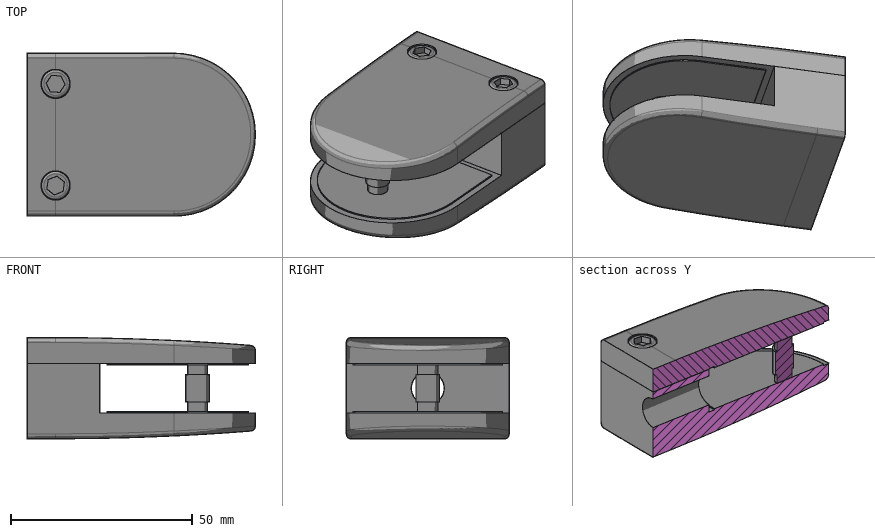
import cadquery as cq
import math

length = 63.0
width = 45.0
height = 28.0

arch_start_x = 7.9
arch_radius = 675.35
edge_round = 1.4

slot_height = 13.6
slot_start_x = 20.1
pad_thickness = 0.4
pad_inset = 1.9
bore_diameter = 9.0

screw_x = arch_start_x
screw_spacing = 28.05
socket_angles = {screw_spacing / 2: -4.0, -screw_spacing / 2: 22.0}
counterbore_diameter = 8.05
head_diameter = 7.8
head_height = 3.0
head_round = 0.7
socket_corner_diameter = 5.2
socket_depth = 1.9

pin_x = 47.05
pin_diameter = 5.55
sleeve_diameter = 6.6
sleeve_height = 7.55

half_height = height / 2
half_slot = slot_height / 2
nose_radius = width / 2
nose_x = length - nose_radius
arch_run = length - arch_start_x
arch_drop = arch_radius - math.sqrt(arch_radius**2 - arch_run**2)
arch_middle_x = arch_start_x + arch_run / 2
arch_middle_drop = arch_radius - math.sqrt(arch_radius**2 - (arch_run / 2) ** 2)


def d_plate(start_x, radius, bottom_z, thickness):
    """Plate with a square back at start_x and a half-round nose about nose_x."""
    return (
        cq.Workplane("XY", origin=(0, 0, bottom_z))
        .moveTo(start_x, -radius)
        .lineTo(nose_x, -radius)
        .threePointArc((nose_x + radius, 0), (nose_x, radius))
        .lineTo(start_x, radius)
        .close()
        .extrude(thickness)
    )


def jaw():
    """Upper jaw: D-shaped plate with an arched, rounded outer face and a raised pad inside the slot."""
    arched_profile = (
        cq.Workplane("XZ")
        .moveTo(0, half_slot)
        .lineTo(0, half_height)
        .lineTo(arch_start_x, half_height)
        .threePointArc(
            (arch_middle_x, half_height - arch_middle_drop),
            (length, half_height - arch_drop),
        )
        .lineTo(length, half_slot)
        .close()
        .extrude(nose_radius, both=True)
    )
    plate = d_plate(0, nose_radius, half_slot, half_height - half_slot).intersect(arched_profile)

    rim = plate.edges().filter(
        lambda edge: edge.Center().z > half_slot + edge_round and edge.BoundingBox().xlen > edge_round
    )
    pad = d_plate(
        slot_start_x + pad_inset,
        nose_radius - pad_inset,
        half_slot - pad_thickness,
        pad_thickness,
    )
    return rim.fillet(edge_round).union(pad)


def screw_head(angle):
    """Round-edged socket head standing on the XY plane, with its hexagon turned by the angle."""
    socket = (
        cq.Workplane("XY", origin=(0, 0, head_height - socket_depth))
        .polygon(6, socket_corner_diameter)
        .extrude(socket_depth)
        .rotate((0, 0, 0), (0, 0, 1), angle)
    )
    return (
        cq.Workplane("XY")
        .circle(head_diameter / 2)
        .extrude(head_height)
        .faces(">Z")
        .edges()
        .fillet(head_round)
        .cut(socket)
    )


def make_lid():
    """Upper jaw with two screw heads sunk flush into counterbores."""
    lid = jaw()
    head_bottom_z = half_height - head_height
    for screw_y, angle in socket_angles.items():
        screw_seat = (screw_x, screw_y, head_bottom_z)
        counterbore = (
            cq.Workplane("XY", origin=screw_seat)
            .circle(counterbore_diameter / 2)
            .extrude(head_height)
        )
        lid = lid.cut(counterbore).union(screw_head(angle).translate(screw_seat))
    return lid


def make_base():
    """Lower jaw with the solid block behind the slot and a bore through that block."""
    block = cq.Workplane("XY").box(slot_start_x, width, slot_height, centered=(False, True, True))
    bore = cq.Workplane("YZ").circle(bore_diameter / 2).extrude(slot_start_x)
    return jaw().mirror("XY").union(block).cut(bore)


def make_pin():
    """Stepped pin that reaches from pad to pad, thicker in its middle."""
    pin_height = slot_height - 2 * pad_thickness
    core = cq.Workplane("XY").cylinder(pin_height, pin_diameter / 2)
    sleeve = cq.Workplane("XY").cylinder(sleeve_height, sleeve_diameter / 2)
    return core.union(sleeve).translate((pin_x, 0, 0))


base = make_base()
lid = make_lid()
pin = make_pin()

result = cq.Compound.makeCompound([base.val(), lid.val(), pin.val()])